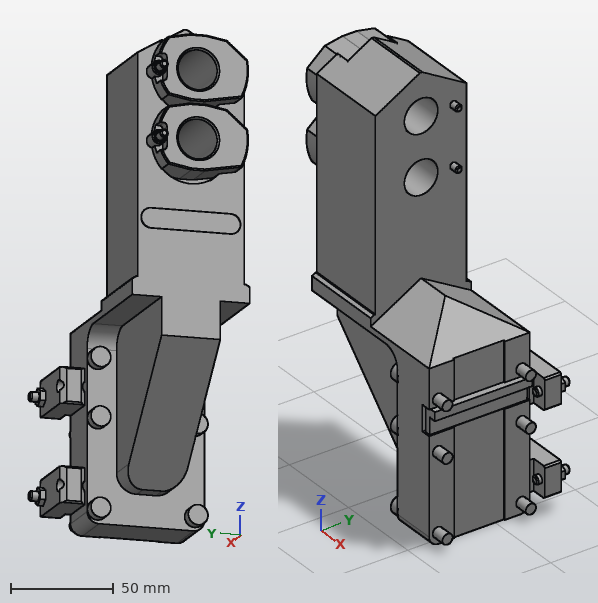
import cadquery as cq
import math


TOWER_DEPTH = 49.5
TOWER_HALF_WIDTH = 27.3
TOWER_TOP = 235.0
RIDGE_HALF_WIDTH = 0.7
ROOF_PITCH = math.radians(30)
FOOT_TOP = 106.0
FOOT_LEDGE_WIDTH = 0.7

HALF_WIDTH = 30.0
PLATE_FRONT = 72.1
PLATE_REAR = 99.0
PLATE_CORNER_RADIUS = 5.9
ARM_UNDERSIDE = 97.8
ARM_FILLET = 10.0
EAVES_HEIGHT = 101.3
HIP_ROOF_RISE = 17.2
HIP_RIDGE_END = 70.0
REAR_RELIEF_DEPTH = 0.7

COLUMN_HALF_WIDTH = 15.0
COLUMN_BOTTOM = 16.2
COLUMN_CORNER_RADIUS = 10.0
COLUMN_SLOPE_TOP = 78.5

PANEL_LENGTH = 50.8
PANEL_HEIGHT = 10.0
PANEL_DEPTH = 0.5
PANEL_Z = 137.0

PORT_HEIGHTS = (175.5, 210.3)
PORT_DIAMETER = 20.0
PORT_CHAMFER = 1.0
RECESS_RADIUS = 20.0
RECESS_DEPTH = 8.7
RECESS_HALF_WIDTH = 14.8
RECESS_SHOULDER = 15.7
RECESS_NECK_HALF_WIDTH = 11.8
RECESS_NECK_HEIGHT = 17.9
COLLAR_FRONT = -11.5
COLLAR_CHAMFER = 0.7

COLLAR_TOP = 17.6
COLLAR_TOP_HALF_WIDTH = 4.2
COLLAR_BOTTOM_DROP = 15.7
COLLAR_BOTTOM_HALF_WIDTH = 3.5
COLLAR_BEVEL_TOP = (-14.8, 15.7)
COLLAR_BEVEL_END = (-25.4, 6.5)
COLLAR_BEVEL_FLANK_MIDDLE = (-25.5, -2.8)
COLLAR_BEVEL_FLANK_END = (-22.5, -12.5)
COLLAR_PIN_FLANK_BOTTOM = (15.0, -13.6)
COLLAR_PIN_FLANK_MIDDLE = (20.5, 1.0)
COLLAR_PIN_FLANK_TOP = (15.0, 15.5)

PIN_Y = 19.3
PIN_DIAMETER = 4.0
PIN_FRONT = -17.9
PIN_REAR = 54.8
PIN_CHAMFER = 0.7
PIN_BOSS_DIAMETER = 7.0
PIN_BOSS_FRONT = -10.0
PIN_BOSS_CHAMFER = 0.7
POCKET_INNER_Y = 16.0
POCKET_OUTER_Y = 24.7
POCKET_HEIGHT = 13.6
POCKET_RADIUS = 1.9
POCKET_BACK = -4.7

SCREW_Y = 25.0
SCREW_HEIGHTS = (6.8, 52.6, 82.5)
SCREW_DIAMETER = 6.0
SCREW_REAR = 107.2
SCREW_HEAD_DIAMETER = 10.0
SCREW_HEAD_FRONT = 66.3

KEY_FRONT = 93.3
KEY_REAR = 102.5
KEY_LEDGE_REAR = 98.0
KEY_BOTTOM = 63.0
KEY_LEDGE_TOP = 72.8
KEY_TOP = 78.0
KEY_INSET = 1.0
KEY_CHAMFER = 1.5

CLAMP_HEIGHTS = (19.3, 69.0)
CLAMP_HEIGHT = 18.3
CLAMP_FRONT = 74.3
CLAMP_REAR = 107.6
CLAMP_BODY_REAR = 98.2
CLAMP_ARM_Y = 33.0
CLAMP_OUTER_Y = 42.8
CLAMP_NOSE_LENGTH = 1.9
CLAMP_NOSE_CHAMFER = 1.0
CLAMP_OUTER_BEVEL = 2.8
CLAMP_INNER_BEVEL = 2.4
CLAMP_REAR_CHAMFER = 1.0
CLAMP_HOLE_X = 78.0
CLAMP_HOLE_DIAMETER = 6.0
BOLT_X = 103.0
BOLT_DIAMETER = 5.0
BOLT_CHAMFER = 0.7
BOLT_INNER_Y = 30.0
BOLT_OUTER_Y = 49.8
NUT_ACROSS_FLATS = 8.0
NUT_THICKNESS = 2.8


def facing_x(x):
    """Sketch plane at the given X; local axes are Y and Z, normal is +X."""
    return cq.Workplane("YZ", origin=(x, 0, 0))


def prism_along_y(outline, y_start, y_end):
    """Extrude a closed XZ outline between two Y positions."""
    return outline.extrude(y_start - y_end).translate((0, y_start, 0))


def rod_along_x(y, z, diameter, x_start, x_end):
    return facing_x(x_start).center(y, z).circle(diameter / 2).extrude(x_end - x_start)


def make_tower():
    shoulder = TOWER_TOP - (TOWER_HALF_WIDTH - RIDGE_HALF_WIDTH) * math.tan(ROOF_PITCH)
    ledge_edge = TOWER_HALF_WIDTH + FOOT_LEDGE_WIDTH
    foot_slope_top = FOOT_TOP + (HALF_WIDTH - ledge_edge) * math.tan(ROOF_PITCH)
    half = [
        (HALF_WIDTH, ARM_UNDERSIDE),
        (HALF_WIDTH, FOOT_TOP),
        (ledge_edge, foot_slope_top),
        (TOWER_HALF_WIDTH, foot_slope_top),
        (TOWER_HALF_WIDTH, shoulder),
        (RIDGE_HALF_WIDTH, TOWER_TOP),
    ]
    mirrored = [(-y, z) for y, z in reversed(half)]
    return facing_x(0).polyline(half + mirrored).close().extrude(TOWER_DEPTH)


def make_arm_and_plate():
    arc_offset = ARM_FILLET * (1 - math.sqrt(0.5))
    outline = (
        cq.Workplane("XZ")
        .moveTo(0, ARM_UNDERSIDE)
        .lineTo(PLATE_FRONT - ARM_FILLET, ARM_UNDERSIDE)
        .threePointArc(
            (PLATE_FRONT - arc_offset, ARM_UNDERSIDE - arc_offset),
            (PLATE_FRONT, ARM_UNDERSIDE - ARM_FILLET),
        )
        .lineTo(PLATE_FRONT, 0)
        .lineTo(PLATE_REAR, 0)
        .lineTo(PLATE_REAR, EAVES_HEIGHT)
        .lineTo(0, EAVES_HEIGHT)
        .close()
    )
    block = prism_along_y(outline, -HALF_WIDTH, HALF_WIDTH)
    return block.faces("<Z").edges("|X").fillet(PLATE_CORNER_RADIUS)


def make_hip_roof():
    ridge = EAVES_HEIGHT + HIP_ROOF_RISE
    gable = (
        facing_x(TOWER_DEPTH)
        .polyline([(-HALF_WIDTH, EAVES_HEIGHT), (HALF_WIDTH, EAVES_HEIGHT), (0, ridge)])
        .close()
        .extrude(PLATE_REAR - TOWER_DEPTH)
    )
    hip = cq.Workplane("XZ").polyline([
        (TOWER_DEPTH, EAVES_HEIGHT),
        (PLATE_REAR, EAVES_HEIGHT),
        (HIP_RIDGE_END, ridge),
        (TOWER_DEPTH, ridge),
    ]).close()
    return gable.intersect(prism_along_y(hip, -HALF_WIDTH, HALF_WIDTH))


def make_column():
    slope_end = COLUMN_SLOPE_TOP - COLUMN_BOTTOM
    side = cq.Workplane("XZ").polyline([
        (0, ARM_UNDERSIDE),
        (0, COLUMN_SLOPE_TOP),
        (slope_end, COLUMN_BOTTOM),
        (PLATE_FRONT, COLUMN_BOTTOM),
        (PLATE_FRONT, ARM_UNDERSIDE),
    ]).close()
    column = prism_along_y(side, -COLUMN_HALF_WIDTH, COLUMN_HALF_WIDTH)
    height = ARM_UNDERSIDE - COLUMN_BOTTOM
    rounded = (
        facing_x(0)
        .center(0, COLUMN_BOTTOM + height / 2)
        .rect(2 * COLUMN_HALF_WIDTH, height)
        .extrude(PLATE_FRONT)
        .faces("<Z").edges("|X").fillet(COLUMN_CORNER_RADIUS)
    )
    return column.intersect(rounded)


def make_rear_relief():
    return cq.Workplane("XY").box(
        REAR_RELIEF_DEPTH, 2 * COLUMN_HALF_WIDTH, TOWER_TOP, centered=(False, True, False)
    ).translate((PLATE_REAR - REAR_RELIEF_DEPTH, 0, 0))


def make_front_panel():
    return facing_x(0).center(0, PANEL_Z).slot2D(PANEL_LENGTH, PANEL_HEIGHT).extrude(PANEL_DEPTH)


def make_port_recess(port_z):
    """Round seat behind one collar, with a tapering neck above it."""
    seat = facing_x(0).center(0, port_z).circle(RECESS_RADIUS).extrude(RECESS_DEPTH)
    neck = (
        facing_x(0)
        .center(0, port_z)
        .polyline([
            (-RECESS_HALF_WIDTH, 0),
            (RECESS_HALF_WIDTH, 0),
            (RECESS_HALF_WIDTH, RECESS_SHOULDER),
            (RECESS_NECK_HALF_WIDTH, RECESS_NECK_HEIGHT),
            (-RECESS_NECK_HALF_WIDTH, RECESS_NECK_HEIGHT),
            (-RECESS_HALF_WIDTH, RECESS_SHOULDER),
        ])
        .close()
        .extrude(RECESS_DEPTH)
    )
    return seat.union(neck)


def make_top_opening():
    """Opening of the upper recess through the tower roof."""
    port_z = max(PORT_HEIGHTS)
    return cq.Workplane("XY").box(
        RECESS_DEPTH, 2 * RECESS_HALF_WIDTH, TOWER_TOP - port_z, centered=(False, True, False)
    ).translate((0, 0, port_z))


def make_collar(port_z):
    """Collar with two curved flanks, a bevelled shoulder and a pocket for the pin."""
    collar = (
        facing_x(COLLAR_FRONT)
        .center(0, port_z)
        .moveTo(COLLAR_TOP_HALF_WIDTH, COLLAR_TOP)
        .lineTo(-COLLAR_TOP_HALF_WIDTH, COLLAR_TOP)
        .lineTo(*COLLAR_BEVEL_TOP)
        .lineTo(*COLLAR_BEVEL_END)
        .threePointArc(COLLAR_BEVEL_FLANK_MIDDLE, COLLAR_BEVEL_FLANK_END)
        .lineTo(-COLLAR_BOTTOM_HALF_WIDTH, -COLLAR_BOTTOM_DROP)
        .lineTo(COLLAR_BOTTOM_HALF_WIDTH, -COLLAR_BOTTOM_DROP)
        .lineTo(*COLLAR_PIN_FLANK_BOTTOM)
        .threePointArc(COLLAR_PIN_FLANK_MIDDLE, COLLAR_PIN_FLANK_TOP)
        .close()
        .extrude(RECESS_DEPTH - COLLAR_FRONT)
        .faces("<X").chamfer(COLLAR_CHAMFER)
    )
    pocket = (
        facing_x(COLLAR_FRONT)
        .center((POCKET_INNER_Y + POCKET_OUTER_Y) / 2, port_z)
        .rect(POCKET_OUTER_Y - POCKET_INNER_Y, POCKET_HEIGHT)
        .extrude(POCKET_BACK - COLLAR_FRONT)
        .edges("|X").fillet(POCKET_RADIUS)
    )
    return collar.cut(pocket)


def make_pin(port_z):
    boss = rod_along_x(PIN_Y, port_z, PIN_BOSS_DIAMETER, PIN_BOSS_FRONT, RECESS_DEPTH)
    boss = boss.faces("<X").chamfer(PIN_BOSS_CHAMFER)
    pin = rod_along_x(PIN_Y, port_z, PIN_DIAMETER, PIN_FRONT, PIN_REAR)
    return boss.union(pin.faces("<X or >X").chamfer(PIN_CHAMFER))


def make_port_bore(port_z):
    bore = rod_along_x(0, port_z, PORT_DIAMETER, COLLAR_FRONT, TOWER_DEPTH)
    mouth_radius = PORT_DIAMETER / 2 + PORT_CHAMFER
    mouth = cq.Solid.makeCone(
        mouth_radius, PORT_DIAMETER / 2, PORT_CHAMFER,
        cq.Vector(COLLAR_FRONT, 0, port_z), cq.Vector(1, 0, 0),
    )
    return bore.union(cq.Workplane(mouth))


def make_screw(y, z):
    head = rod_along_x(y, z, SCREW_HEAD_DIAMETER, SCREW_HEAD_FRONT, PLATE_FRONT)
    return head.union(rod_along_x(y, z, SCREW_DIAMETER, SCREW_HEAD_FRONT, SCREW_REAR))


def make_key_notch():
    outline = cq.Workplane("XZ").polyline([
        (KEY_FRONT, KEY_BOTTOM),
        (PLATE_REAR, KEY_BOTTOM),
        (PLATE_REAR, KEY_TOP),
        (KEY_FRONT, KEY_TOP),
    ]).close()
    return prism_along_y(outline, -HALF_WIDTH, HALF_WIDTH)


def make_key():
    """Stepped bar across the plate, bevelled at both ends of its front edge."""
    outline = cq.Workplane("XZ").polyline([
        (KEY_FRONT, KEY_BOTTOM),
        (KEY_LEDGE_REAR, KEY_BOTTOM),
        (KEY_LEDGE_REAR, KEY_LEDGE_TOP),
        (KEY_REAR, KEY_LEDGE_TOP),
        (KEY_REAR, KEY_TOP),
        (KEY_FRONT, KEY_TOP),
    ]).close()
    half_length = HALF_WIDTH - KEY_INSET
    return prism_along_y(outline, -half_length, half_length).faces("<X").edges("|Z").chamfer(KEY_CHAMFER)


def make_clamp(z):
    """Clamp block with a bevelled nose and a cross hole, and a rear arm carrying a bolt and nut."""
    body_front = CLAMP_FRONT + CLAMP_NOSE_LENGTH
    outline = cq.Workplane("XY").polyline([
        (body_front, HALF_WIDTH),
        (CLAMP_BODY_REAR, HALF_WIDTH),
        (CLAMP_BODY_REAR, CLAMP_ARM_Y),
        (CLAMP_REAR, CLAMP_ARM_Y),
        (CLAMP_REAR, CLAMP_OUTER_Y),
        (body_front, CLAMP_OUTER_Y),
        (CLAMP_FRONT, CLAMP_OUTER_Y - CLAMP_OUTER_BEVEL),
        (CLAMP_FRONT, HALF_WIDTH + CLAMP_INNER_BEVEL),
    ]).close()
    block = outline.extrude(CLAMP_HEIGHT).translate((0, 0, z - CLAMP_HEIGHT / 2))
    block = block.faces("<X").edges("|Y").chamfer(CLAMP_NOSE_CHAMFER)
    block = block.faces(">X").edges("|Y").chamfer(CLAMP_REAR_CHAMFER)

    hole = (
        cq.Workplane("XZ", origin=(CLAMP_HOLE_X, CLAMP_OUTER_Y, z))
        .circle(CLAMP_HOLE_DIAMETER / 2)
        .extrude(CLAMP_OUTER_Y - HALF_WIDTH)
    )
    block = block.cut(hole)

    across_corners = NUT_ACROSS_FLATS / math.cos(math.radians(30))
    nut = (
        cq.Workplane("XZ", origin=(BOLT_X, CLAMP_OUTER_Y + NUT_THICKNESS, z))
        .transformed(rotate=(0, 0, 90))
        .polygon(6, across_corners)
        .extrude(NUT_THICKNESS)
    )
    bolt = (
        cq.Workplane("XZ", origin=(BOLT_X, BOLT_OUTER_Y, z))
        .circle(BOLT_DIAMETER / 2)
        .extrude(BOLT_OUTER_Y - BOLT_INNER_Y)
        .faces("<Y or >Y").chamfer(BOLT_CHAMFER)
    )
    return block.union(nut).union(bolt)


result = make_tower().union(make_arm_and_plate()).union(make_hip_roof()).union(make_column())
result = result.cut(make_rear_relief()).cut(make_front_panel())

result = result.cut(make_top_opening())
for port_height in PORT_HEIGHTS:
    result = result.cut(make_port_recess(port_height))
for port_height in PORT_HEIGHTS:
    result = result.union(make_collar(port_height)).union(make_pin(port_height))
for port_height in PORT_HEIGHTS:
    result = result.cut(make_port_bore(port_height))

result = result.cut(make_key_notch()).union(make_key())

for screw_height in SCREW_HEIGHTS:
    for screw_y in (-SCREW_Y, SCREW_Y):
        result = result.union(make_screw(screw_y, screw_height))
for clamp_height in CLAMP_HEIGHTS:
    result = result.union(make_clamp(clamp_height))